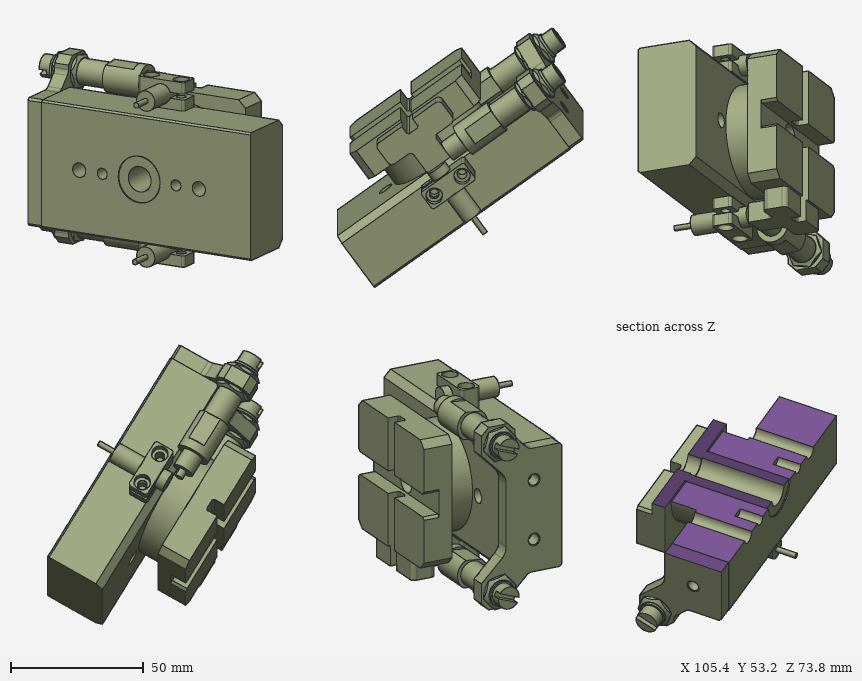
import cadquery as cq

BASE_HALF_LENGTH = 48.5
BASE_HALF_HEIGHT = 25.0
BASE_DEPTH = 24.0
PLATE_THICKNESS = 6.0
BLOCK_FRONT_CHAMFER = 0.7
BLOCK_BACK_CHAMFER = 2.8
DRUM_DIAMETER = 43.7
DRUM_BACK = 34.6
BOLT_HOLE_DIAMETER = 5.7
BOLT_HOLE_OFFSET = 26.0
PIN_HOLE_DIAMETER = 4.3
PIN_HOLE_OFFSET = 16.0
PIN_HOLE_DEPTH = 9.5

TABLE_SIZE = 51.9
TABLE_FRONT = 35.0
TABLE_BACK = 47.0
TABLE_CHAMFER = 3.0
SHAFT_DIAMETER = 18.1
SHAFT_RECESS = 0.5
BORE_DIAMETER = 9.0
SHAFT_BORE_DIAMETER = 9.9
Z_SLOT_WIDTH = 5.1
Z_SLOT_DEPTH = 4.9
Z_SLOT_CORNER = 0.6
TABLE_HOLE_DIAMETER = 3.0
TABLE_HOLE_X = -20.7
TABLE_HOLE_Z = 13.4
TABLE_HOLE_DEPTH = 5.3
X_SLOT_WIDTH = 9.2
X_SLOT_DEPTH = 6.4
X_SLOT_MOUTH_CHAMFER = 1.1

LUG_HALF_WIDTH = 15.0
LUG_BOTTOM = -34.2
LUG_BACK = 46.1
LUG_SHOULDER = 36.1
LUG_CORNER_RADIUS = 1.9
PRONG_HALF_WIDTH = 5.3
PRONG_ROOT_RADIUS = 1.7
PRONG_FRONT = 25.8
PRONG_TOP = -26.5
PICK_MARGIN = 0.1

PLATE_FRONT = 0.2
EAR_TOP = 36.9
EAR_FRONT = 20.2
EAR_BACK = 34.6
EAR_CHAMFER = 3.1
EAR_NECK_FRONT = 14.3
EAR_NECK_BACK = 25.8
NECK_FRONT_RADIUS = 3.0
NECK_BACK_RADIUS = 6.0
PLATE_FRONT_CHAMFER = 1.0
PLATE_HOLE_DIAMETER = 4.4
PLATE_HOLE_CHAMFER = 0.3
PLATE_HOLE_CONE_ANGLE = 90
PLATE_HOLE_Y = 12.1
PLATE_HOLE_Z = 12.0

DAMPER_Y = 27.5
DAMPER_Z = 30.0
SCREW_TIP = -56.9
SCREW_LENGTH = 4.9
SCREW_RADIUS = 4.4
SCREW_SLOT_WIDTH = 2.1
SCREW_SLOT_DEPTH = 3.1
SCREW_SLOT_ANGLE = 20.0
THREAD_RADIUS = 5.1
NUT_THICKNESS = 2.6
NUT_CORNER_RADIUS = 7.2
NUT_FACE_RADIUS = 5.3
INNER_NUT_SEAT = 0.4
NUT_ANGLE = 12.0
SLEEVE_START = -28.3
SLEEVE_END = -12.4
SLEEVE_RADIUS = 6.4
SLEEVE_FLAT_LENGTH = 12.1
SLEEVE_FLAT_DISTANCE = 5.5
SLEEVE_FLAT_TILT = 6.0
CAP_END = -PRONG_HALF_WIDTH
CAP_RADIUS = 4.1
ROD_RADIUS = 1.6
ROD_LENGTH = 3.2

CLAMP_START = -8.4
CLAMP_LENGTH = 20.1
CLAMP_FRONT = 13.6
CLAMP_BACK = 21.6
CLAMP_TOP = 36.1
CLAMP_EDGE_RADIUS = 1.1
CLAMP_SLIT_WIDTH = 2.3
CLAMP_SCREW_SPACING = 13.0
CLAMP_HOLE_DIAMETER = 3.7
CLAMP_BORE_DIAMETER = 6.1
CLAMP_BORE_DEPTH = 3.7
SENSOR_X = 1.8
SENSOR_Z = 30.5
SENSOR_DIAMETER = 7.9
SENSOR_FRONT = 1.9
SENSOR_BACK = 25.1
WIRE_DIAMETER = 2.1
UPPER_WIRE_FRONT = -5.2
LOWER_WIRE_FRONT = -6.2

BLOCK_START = -BASE_HALF_LENGTH + PLATE_THICKNESS


def box(x0, x1, y0, y1, z0, z1):
    return cq.Workplane("XY").box(x1 - x0, y1 - y0, z1 - z0, centered=False).translate((x0, y0, z0))


def rod_x(radius, x0, x1):
    """Cylinder along the X axis."""
    return cq.Workplane("YZ", origin=(x0, 0, 0)).circle(radius).extrude(x1 - x0)


def rod_y(diameter, y0, y1, x=0.0, z=0.0):
    """Cylinder along Y with its axis at (x, z)."""
    solid = cq.Solid.makeCylinder(diameter / 2, y1 - y0, cq.Vector(x, y0, z), cq.Vector(0, 1, 0))
    return cq.Workplane("XY").add(solid)


def mirror_z(shape):
    return shape.mirror("XY")


def make_block():
    block = box(BLOCK_START, BASE_HALF_LENGTH, 0, BASE_DEPTH, -BASE_HALF_HEIGHT, BASE_HALF_HEIGHT)
    block = block.faces("<Y").edges("|X").chamfer(BLOCK_FRONT_CHAMFER)
    block = block.faces(">Y").edges("|X").chamfer(BLOCK_BACK_CHAMFER)
    block = block.union(rod_y(DRUM_DIAMETER, BASE_DEPTH, DRUM_BACK))
    block = block.cut(rod_y(SHAFT_DIAMETER, 0, DRUM_BACK))
    for side in (-1, 1):
        block = block.cut(rod_y(BOLT_HOLE_DIAMETER, 0, BASE_DEPTH, x=side * BOLT_HOLE_OFFSET))
        block = block.cut(rod_y(PIN_HOLE_DIAMETER, 0, PIN_HOLE_DEPTH, x=side * PIN_HOLE_OFFSET))
    return block


def make_clamped_sensor(wire_front):
    """Sensor on the upper side of the block."""
    clamp_end = CLAMP_START + CLAMP_LENGTH
    clamp = box(CLAMP_START, clamp_end, CLAMP_FRONT, CLAMP_BACK, BASE_HALF_HEIGHT, CLAMP_TOP)
    clamp = clamp.edges("|Z").fillet(CLAMP_EDGE_RADIUS)
    clamp = (
        clamp.faces(">Z").workplane(origin=(CLAMP_START + CLAMP_LENGTH / 2, (CLAMP_FRONT + CLAMP_BACK) / 2, 0))
        .rarray(CLAMP_SCREW_SPACING, 1.1, 2, 1)
        .cboreHole(CLAMP_HOLE_DIAMETER, CLAMP_BORE_DIAMETER, CLAMP_BORE_DEPTH, CLAMP_TOP - BASE_HALF_HEIGHT)
    )
    half_slit = CLAMP_SLIT_WIDTH / 2
    slit = box(SENSOR_X, clamp_end, CLAMP_FRONT, CLAMP_BACK, SENSOR_Z - half_slit, SENSOR_Z + half_slit)
    sensor = rod_y(SENSOR_DIAMETER, SENSOR_FRONT, SENSOR_BACK, SENSOR_X, SENSOR_Z)
    wire = rod_y(WIRE_DIAMETER, wire_front, SENSOR_FRONT, SENSOR_X, SENSOR_Z)
    return clamp.cut(slit).union(sensor).union(wire)


def make_housing():
    upper_sensor = make_clamped_sensor(UPPER_WIRE_FRONT)
    lower_sensor = mirror_z(make_clamped_sensor(LOWER_WIRE_FRONT))
    return make_block().union(upper_sensor).union(lower_sensor)


def make_plate():
    ear_slope_top = BASE_HALF_HEIGHT + EAR_FRONT - EAR_NECK_FRONT
    neck_back = EAR_NECK_BACK - (EAR_BACK - BASE_DEPTH)
    upper_outline = [
        (PLATE_FRONT, BASE_HALF_HEIGHT),
        (EAR_NECK_FRONT, BASE_HALF_HEIGHT),
        (EAR_FRONT, ear_slope_top),
        (EAR_FRONT, EAR_TOP - EAR_CHAMFER),
        (EAR_FRONT + EAR_CHAMFER, EAR_TOP),
        (EAR_BACK - EAR_CHAMFER, EAR_TOP),
        (EAR_BACK, EAR_TOP - EAR_CHAMFER),
        (EAR_BACK, EAR_NECK_BACK),
        (BASE_DEPTH, neck_back),
    ]
    lower_outline = [(y, -z) for y, z in reversed(upper_outline)]
    plate = (
        cq.Workplane("YZ", origin=(-BASE_HALF_LENGTH, 0, 0))
        .polyline(upper_outline + lower_outline).close()
        .extrude(PLATE_THICKNESS)
    )

    def edges_at(y, z):
        picked = cq.Workplane("XY")
        for side in (-1, 1):
            point = (BLOCK_START - PLATE_THICKNESS / 2, y, side * z)
            picked = picked.add(plate.edges(cq.NearestToPointSelector(point)).vals())
        return picked.vals()

    front_corners = edges_at(EAR_NECK_FRONT, BASE_HALF_HEIGHT) + edges_at(EAR_FRONT, ear_slope_top)
    back_corners = edges_at(BASE_DEPTH, neck_back)
    edge_corners = edges_at(PLATE_FRONT, BASE_HALF_HEIGHT)
    plate = plate.newObject(front_corners).fillet(NECK_FRONT_RADIUS)
    plate = plate.newObject(back_corners).fillet(NECK_BACK_RADIUS)
    plate = plate.newObject(edge_corners).chamfer(PLATE_FRONT_CHAMFER)
    return (
        plate.faces("<X").workplane(origin=(0, PLATE_HOLE_Y, 0))
        .rarray(1.1, 2 * PLATE_HOLE_Z, 1, 2)
        .cskHole(PLATE_HOLE_DIAMETER, PLATE_HOLE_DIAMETER + 2 * PLATE_HOLE_CHAMFER, PLATE_HOLE_CONE_ANGLE)
    )


def make_nut(start):
    """Hexagon nut on the X axis, turned to a cone at both ends."""
    middle = NUT_THICKNESS / 2
    hexagon = (
        cq.Workplane("YZ").polygon(6, 2 * NUT_CORNER_RADIUS).extrude(NUT_THICKNESS)
        .rotate((0, 0, 0), (1, 0, 0), -NUT_ANGLE)
    )
    cones = (
        cq.Workplane("XY")
        .polyline([(0, 0), (0, NUT_FACE_RADIUS), (middle, NUT_CORNER_RADIUS),
                   (NUT_THICKNESS, NUT_FACE_RADIUS), (NUT_THICKNESS, 0)])
        .close().revolve(360, (0, 0, 0), (1, 0, 0))
    )
    return hexagon.intersect(cones).translate((start, 0, 0))


def make_screw_head():
    head = rod_x(SCREW_RADIUS, SCREW_TIP, SCREW_TIP + SCREW_LENGTH)
    half_slot = SCREW_SLOT_WIDTH / 2
    slot = box(SCREW_TIP, SCREW_TIP + SCREW_SLOT_DEPTH, -SCREW_RADIUS, SCREW_RADIUS, -half_slot, half_slot)
    return head.cut(slot.rotate((0, 0, 0), (1, 0, 0), SCREW_SLOT_ANGLE))


def make_sleeve():
    sleeve = rod_x(SLEEVE_RADIUS, SLEEVE_START, SLEEVE_END)
    flat_end = SLEEVE_START + SLEEVE_FLAT_LENGTH
    for turn in (0, 180):
        flat = box(SLEEVE_START, flat_end, -SLEEVE_RADIUS, SLEEVE_RADIUS, SLEEVE_FLAT_DISTANCE, SLEEVE_RADIUS)
        sleeve = sleeve.cut(flat.rotate((0, 0, 0), (1, 0, 0), turn + SLEEVE_FLAT_TILT))
    return sleeve


def make_damper(rod_out):
    """Shock absorber along the X axis; rod_out is the visible length of its rod."""
    damper = make_screw_head()
    damper = damper.union(rod_x(THREAD_RADIUS, SCREW_TIP + SCREW_LENGTH, SLEEVE_START))
    damper = damper.union(make_nut(-BASE_HALF_LENGTH - NUT_THICKNESS))
    damper = damper.union(make_nut(BLOCK_START - INNER_NUT_SEAT))
    damper = damper.union(make_sleeve())
    damper = damper.union(rod_x(CAP_RADIUS, SLEEVE_END, CAP_END))
    if rod_out > 0:
        damper = damper.union(rod_x(ROD_RADIUS, CAP_END, CAP_END + rod_out))
    return damper


def make_end_plate():
    upper_damper = make_damper(ROD_LENGTH).translate((0, DAMPER_Y, DAMPER_Z))
    lower_damper = make_damper(0).translate((0, DAMPER_Y, -DAMPER_Z))
    return make_plate().union(upper_damper).union(lower_damper)


def make_table():
    half = TABLE_SIZE / 2
    table = box(-half, half, TABLE_FRONT, TABLE_BACK, -half, half)
    table = table.edges("|Y").chamfer(TABLE_CHAMFER)

    inner = X_SLOT_WIDTH / 2
    outer = inner + X_SLOT_MOUTH_CHAMFER
    neck = half - X_SLOT_MOUTH_CHAMFER
    x_slot = (
        cq.Workplane("XZ", origin=(0, TABLE_BACK, 0))
        .polyline([(-half, -outer), (-neck, -inner), (neck, -inner), (half, -outer),
                   (half, outer), (neck, inner), (-neck, inner), (-half, outer)])
        .close().extrude(X_SLOT_DEPTH)
    )
    screw_hole = rod_y(
        TABLE_HOLE_DIAMETER, TABLE_FRONT, TABLE_FRONT + TABLE_HOLE_DEPTH, TABLE_HOLE_X, TABLE_HOLE_Z
    )
    return table.cut(x_slot).cut(screw_hole)


def make_z_slot():
    """Slot along Z with beveled bottom corners, through the table and the lug head."""
    half_width = Z_SLOT_WIDTH / 2
    slot = box(-half_width, half_width, TABLE_BACK - Z_SLOT_DEPTH, TABLE_BACK, LUG_BOTTOM, TABLE_SIZE / 2)
    return slot.faces("<Y").edges("|Z").chamfer(Z_SLOT_CORNER)


def make_lug():
    """T-shaped lug whose prong swings between the two shock absorbers."""
    top = -TABLE_SIZE / 2
    head = box(-LUG_HALF_WIDTH, LUG_HALF_WIDTH, LUG_SHOULDER, LUG_BACK, LUG_BOTTOM, top)
    head = head.edges("|Z").fillet(LUG_CORNER_RADIUS)
    prong = box(-PRONG_HALF_WIDTH, PRONG_HALF_WIDTH, PRONG_FRONT, LUG_SHOULDER, LUG_BOTTOM, PRONG_TOP)
    lug = head.union(prong)
    root = cq.selectors.BoxSelector(
        (-PRONG_HALF_WIDTH - PICK_MARGIN, LUG_SHOULDER - PICK_MARGIN, LUG_BOTTOM - PICK_MARGIN),
        (PRONG_HALF_WIDTH + PICK_MARGIN, LUG_SHOULDER + PICK_MARGIN, top),
    )
    return lug.edges("|Z").edges(root).fillet(PRONG_ROOT_RADIUS)


def make_rotor():
    rotor = make_table().union(rod_y(SHAFT_DIAMETER, SHAFT_RECESS, TABLE_FRONT)).union(make_lug())
    rotor = rotor.cut(rod_y(SHAFT_BORE_DIAMETER, SHAFT_RECESS, TABLE_FRONT))
    rotor = rotor.cut(rod_y(BORE_DIAMETER, TABLE_FRONT, TABLE_BACK))
    return rotor.cut(make_z_slot())


housing = make_housing()
end_plate = make_end_plate()
rotor = make_rotor()

result = cq.Compound.makeCompound([housing.val(), end_plate.val(), rotor.val()])